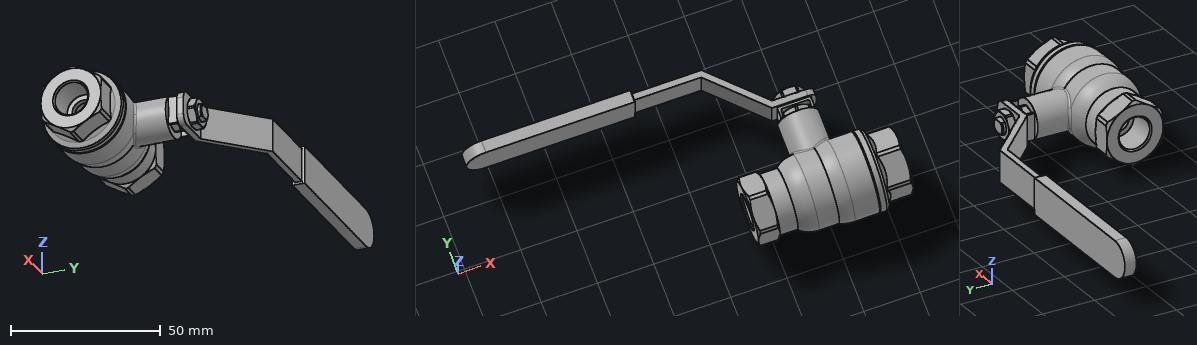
import cadquery as cq
import math


hex_flats = 21.7
hex_corners = 24.3
chamfer_slope = math.tan(math.radians(30))
body_end_x = -27.5
body_hex_end_x = -19.8
collar_end_x = -13.5
bulge_x = -7.0
waist_x = 0.3
drum_x = 5.4
joint_x = 14.5
cap_edge_x = 16.8
cap_rim_x = 17.7
cap_step_x = 18.5
cap_hex_x = 19.5
cap_end_x = 27.5
collar_radius = hex_flats / 2
bulge_radius = 13.5
drum_radius = 14.5
cap_rim_radius = 14.2
cap_step_radius = hex_corners / 2
seam_chamfer = 0.2

bore_diameter = 8.1
socket_diameter = 11.8
socket_depth = 11.0
socket_chamfer = 0.5

neck_radius = 7.4
neck_top_y = 25.8
neck_fillet = 0.8

lever_thickness = 2.5
lever_width = 12.1
lever_bottom_y = 30.1
lever_top_y = lever_bottom_y + lever_thickness
handle_y = 49.8
handle_top_y = handle_y + lever_thickness / 2
lever_end_x = 8.0
lever_corner_radius = 3.0
low_bend_x = -6.7
high_bend_x = -25.2
grip_end_x = -110.0
grip_mouth_x = -50.0
grip_width = 13.9
grip_thickness = 4.5
grip_round_x = grip_end_x + grip_width / 2

clip_length = 12.0
clip_width = 9.9
clip_thickness = 1.0
clip_bottom_y = 26.3
clip_inner_fillet = 0.5

nut_flats = 9.6
nut_corners = 10.7
nut_top_y = 35.6
stem_radius = 3.2
stem_flats = 4.5
stem_top_y = 37.0
stem_bottom_y = 17.9
stem_chamfer = 0.4
stem_hex_top_y = 28.6


def revolve_about_x(profile):
    return profile.close().revolve(360, (0, 0, 0), (1, 0, 0))


def cylinder_x(x, length, radius):
    return cq.Workplane("YZ", origin=(x, 0, 0)).circle(radius).extrude(length)


def cylinder_y(y_low, y_high, radius):
    return cq.Workplane("XZ", origin=(0, y_low, 0)).circle(radius).extrude(y_low - y_high)


def hex_prism(length, flats, corners, chamfer_start, chamfer_end):
    """Hexagon along +Z from the origin, corners on X, with trimmed and chamfered corners."""
    prism = cq.Workplane("XY").polygon(6, flats / math.cos(math.radians(30))).extrude(length)
    flat_radius = flats / 2
    corner_radius = corners / 2
    drop = (corner_radius - flat_radius) * chamfer_slope
    envelope = cq.Workplane("XY").circle(corner_radius).extrude(length)
    if chamfer_start:
        envelope = envelope.faces("<Z").chamfer(drop, corner_radius - flat_radius)
    if chamfer_end:
        envelope = envelope.faces(">Z").chamfer(drop, corner_radius - flat_radius)
    return prism.intersect(envelope)


def end_hexagon(x, length, chamfer_start, chamfer_end):
    """Hexagon along +X with two flats facing +Y and -Y."""
    prism = hex_prism(length, hex_flats, hex_corners, chamfer_start, chamfer_end)
    return prism.rotate((0, 0, 0), (0, 1, 0), 90).translate((x, 0, 0))


def stem_hexagon(y, length, turn):
    """Hexagon along +Y, chamfered at both ends; turn is the angle of its corners from X."""
    prism = hex_prism(length, nut_flats, nut_corners, True, True)
    prism = prism.rotate((0, 0, 0), (0, 0, 1), turn)
    return prism.rotate((0, 0, 0), (1, 0, 0), -90).translate((0, y, 0))


def pipe_socket(end_x, inward):
    """Chamfered socket cut from a free end; inward is the X direction into the part."""
    radius = socket_diameter / 2
    return revolve_about_x(
        cq.Workplane("XY")
        .moveTo(end_x, 0)
        .lineTo(end_x, -radius - socket_chamfer)
        .lineTo(end_x + inward * socket_chamfer, -radius)
        .lineTo(end_x + inward * socket_depth, -radius)
        .lineTo(end_x + inward * socket_depth, 0)
    )


def arc_point(x_start, r_start, x_end, r_end):
    """Midway point of an arc that runs from the start and ends parallel to X at the end."""
    dx = x_end - x_start
    dr = r_end - r_start
    arc_radius = (dx ** 2 + dr ** 2) / (2 * dr)
    half_angle = math.asin(dx / arc_radius) / 2
    x = x_end - arc_radius * math.sin(half_angle)
    r = r_end - arc_radius * (1 - math.cos(half_angle))
    return (x, -r)


def fillet_neck_foot(body):
    """Round the closed curve where the neck meets the turned shell."""
    foot_half_height = neck_radius + neck_fillet
    low_y = collar_radius / 2
    high_y = (drum_radius + neck_top_y) / 2
    foot = cq.selectors.BoxSelector(
        (-foot_half_height, low_y, -foot_half_height),
        (foot_half_height, high_y, foot_half_height),
        boundingbox=True,
    )
    return body.edges(foot).fillet(neck_fillet)


def make_body():
    shell = revolve_about_x(
        cq.Workplane("XY")
        .moveTo(body_hex_end_x, 0)
        .lineTo(body_hex_end_x, -collar_radius)
        .lineTo(collar_end_x, -collar_radius)
        .threePointArc(arc_point(collar_end_x, collar_radius, bulge_x, bulge_radius), (bulge_x, -bulge_radius))
        .lineTo(waist_x, -bulge_radius)
        .threePointArc(arc_point(waist_x, bulge_radius, drum_x, drum_radius), (drum_x, -drum_radius))
        .lineTo(joint_x - seam_chamfer, -drum_radius)
        .lineTo(joint_x, -drum_radius + seam_chamfer)
        .lineTo(joint_x, 0)
    )
    body = shell.union(cylinder_y(0, neck_top_y, neck_radius))
    body = fillet_neck_foot(body)
    body = body.union(end_hexagon(body_end_x, body_hex_end_x - body_end_x, True, True))
    body = body.cut(cylinder_x(body_end_x, joint_x - body_end_x, bore_diameter / 2))
    body = body.cut(pipe_socket(body_end_x, 1))
    return body.cut(cylinder_y(stem_bottom_y, neck_top_y, stem_radius))


def make_end_cap():
    shoulder = revolve_about_x(
        cq.Workplane("XY")
        .moveTo(joint_x, 0)
        .lineTo(joint_x, -drum_radius + seam_chamfer)
        .lineTo(joint_x + seam_chamfer, -drum_radius)
        .lineTo(cap_edge_x, -drum_radius)
        .lineTo(cap_rim_x, -cap_rim_radius)
        .lineTo(cap_step_x, -cap_step_radius)
        .lineTo(cap_hex_x, -collar_radius)
        .lineTo(cap_hex_x, 0)
    )
    cap = shoulder.union(end_hexagon(cap_rim_x, cap_end_x - cap_rim_x, False, True))
    cap = cap.cut(cylinder_x(joint_x, cap_end_x - joint_x, bore_diameter / 2))
    return cap.cut(pipe_socket(cap_end_x, -1))


def stem_end(y_low, y_high):
    """Round bar with two flats facing +Z and -Z."""
    bar = cylinder_y(y_low, y_high, stem_radius)
    length = y_high - y_low
    slab = cq.Workplane("XY").box(2 * stem_radius, length, stem_flats)
    return bar.intersect(slab.translate((0, (y_low + y_high) / 2, 0)))


def make_stem():
    flatted = stem_end(stem_hex_top_y, stem_top_y)
    tip_cone = cylinder_y(stem_hex_top_y, stem_top_y, stem_radius).faces(">Y").chamfer(stem_chamfer)
    collar = stem_hexagon(neck_top_y, stem_hex_top_y - neck_top_y, 90)
    shank = cylinder_y(stem_bottom_y, neck_top_y, stem_radius)
    return shank.union(collar).union(flatted.intersect(tip_cone))


def make_nut():
    nut = stem_hexagon(lever_top_y, nut_top_y - lever_top_y, 0)
    return nut.cut(cylinder_y(lever_top_y, nut_top_y, stem_radius))


def make_stop_clip():
    """Channel with its two legs pointing down, straddling the stem hexagon."""
    height = lever_bottom_y - clip_bottom_y
    middle_y = (lever_bottom_y + clip_bottom_y) / 2
    block = cq.Workplane("XY").box(clip_length, height, clip_width)
    channel = cq.Workplane("XY").box(clip_length - 2 * clip_thickness, height, clip_width)
    channel = channel.edges("|Z and >Y").fillet(clip_inner_fillet)
    return block.cut(channel.translate((0, -clip_thickness, 0))).translate((0, middle_y, 0))


def handle_blank(width, thickness, end_x):
    """Flat bar along X with a full round at its free end, centred on the handle plane."""
    bottom_y = handle_y - thickness / 2
    return (
        cq.Workplane("XZ", origin=(0, bottom_y, 0))
        .moveTo(end_x, -width / 2)
        .lineTo(grip_round_x, -width / 2)
        .threePointArc((grip_round_x - width / 2, 0), (grip_round_x, width / 2))
        .lineTo(end_x, width / 2)
        .close()
        .extrude(-thickness)
    )


def make_lever():
    bend = math.atan2(handle_top_y - lever_top_y, low_bend_x - high_bend_x)
    shift = lever_thickness * math.tan(bend / 2)
    crank = (
        cq.Workplane("XY")
        .moveTo(lever_end_x, lever_top_y)
        .lineTo(low_bend_x, lever_top_y)
        .lineTo(high_bend_x, handle_top_y)
        .lineTo(grip_mouth_x, handle_top_y)
        .lineTo(grip_mouth_x, handle_top_y - lever_thickness)
        .lineTo(high_bend_x - shift, handle_top_y - lever_thickness)
        .lineTo(low_bend_x - shift, lever_bottom_y)
        .lineTo(lever_end_x, lever_bottom_y)
        .close()
        .extrude(lever_width / 2, both=True)
        .edges("|Y and >X")
        .fillet(lever_corner_radius)
    )
    lever = crank.union(handle_blank(lever_width, lever_thickness, grip_mouth_x))
    lever = lever.union(make_stop_clip())
    return lever.cut(stem_end(stem_hex_top_y, lever_top_y))


def make_grip():
    sleeve = handle_blank(grip_width, grip_thickness, grip_mouth_x)
    return sleeve.cut(handle_blank(lever_width, lever_thickness, grip_mouth_x))


body = make_body()
end_cap = make_end_cap()
stem = make_stem()
nut = make_nut()
lever = make_lever()
grip = make_grip()

result = cq.Compound.makeCompound(
    [body.val(), end_cap.val(), stem.val(), nut.val(), lever.val(), grip.val()]
)